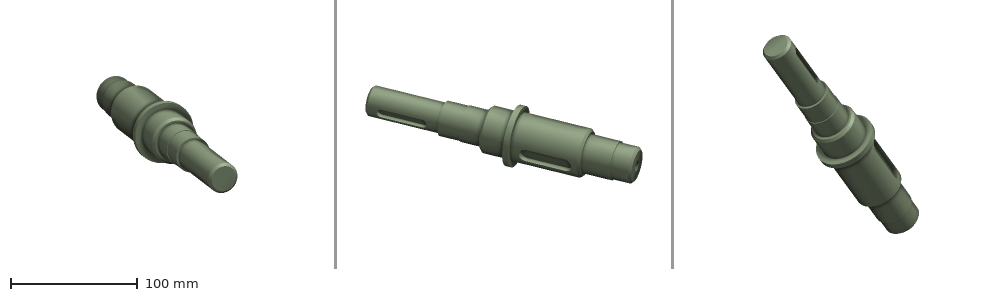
import cadquery as cq
import math

length = 225.0
chamfer = 2.0

left_journal_end, left_journal_diameter = 17.0, 30.0
left_seat_end, left_seat_diameter = 41.5, 32.0
barrel_end, barrel_diameter = 99.5, 40.0
collar_end, collar_diameter = 104.5, 50.0
right_seat_end, right_seat_diameter = 126.7, 38.7
right_journal_end, right_journal_diameter = 144.5, 30.0
seal_end, seal_diameter = 162.7, 28.8
drive_diameter = 25.0

centre_diameter = 9.2
centre_angle = 60.0

barrel_key_middle = 70.0
barrel_key_length, barrel_key_width, barrel_key_depth = 44.3, 12.0, 5.0
drive_key_middle = (seal_end + length) / 2
drive_key_length, drive_key_width, drive_key_depth = 42.0, 8.0, 4.0


def section(start, end, diameter):
    return cq.Workplane("YZ", origin=(start, 0, 0)).circle(diameter / 2).extrude(end - start)


def keyway(middle, shaft_diameter, key_length, key_width, key_depth):
    """Cutter centred at station middle, reaching from the keyway floor to the +Y surface."""
    floor = shaft_diameter / 2 - key_depth
    return (
        cq.Workplane("XZ", origin=(middle, floor, 0))
        .slot2D(key_length, key_width)
        .extrude(-key_depth)
    )


barrel = section(left_seat_end, barrel_end, barrel_diameter).faces("<X").chamfer(chamfer)
right_seat = section(collar_end, right_seat_end, right_seat_diameter).faces(">X").chamfer(chamfer)
drive_end = section(seal_end, length, drive_diameter).faces(">X").chamfer(chamfer)

shaft = (
    section(0, left_journal_end, left_journal_diameter)
    .faces("<X")
    .chamfer(chamfer)
    .union(section(left_journal_end, left_seat_end, left_seat_diameter))
    .union(barrel)
    .union(section(barrel_end, collar_end, collar_diameter))
    .union(right_seat)
    .union(section(right_seat_end, right_journal_end, right_journal_diameter))
    .union(section(right_journal_end, seal_end, seal_diameter))
    .union(drive_end)
)

centre_radius = centre_diameter / 2
centre_depth = centre_radius / math.tan(math.radians(centre_angle / 2))
centre = cq.Workplane("XY").add(
    cq.Solid.makeCone(centre_radius, 0, centre_depth, dir=cq.Vector(1, 0, 0))
)

barrel_keyway = keyway(
    barrel_key_middle, barrel_diameter, barrel_key_length, barrel_key_width, barrel_key_depth
)
drive_keyway = keyway(
    drive_key_middle, drive_diameter, drive_key_length, drive_key_width, drive_key_depth
)

result = shaft.cut(centre).cut(barrel_keyway).cut(drive_keyway)